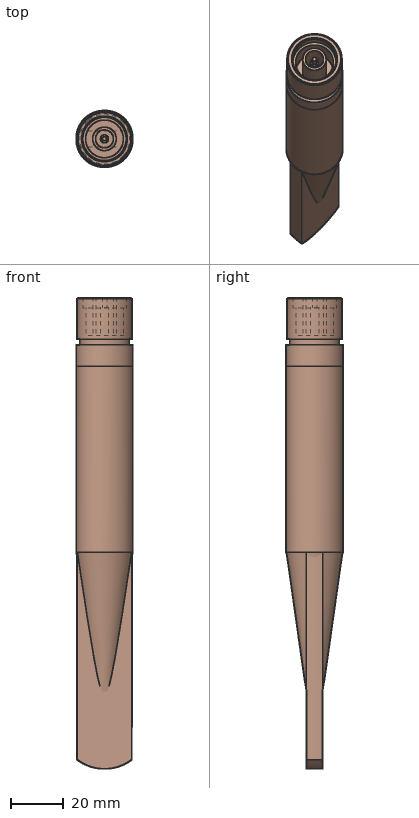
import cadquery as cq

TOTAL_LENGTH = 179.5
CAP_BOTTOM = 163.7
GROOVE_BOTTOM = 161.5
JOINT_LEVEL = 153.5
SHOULDER_LEVEL = 82.5
CONE_TIP_LEVEL = 28.4

BODY_DIAMETER = 21.7
CONE_TOP_DIAMETER = 21.5
BLADE_WIDTH = 21.0
BLADE_FACE_WIDTH = 20.6
BLADE_THICKNESS = 6.1
TIP_SAGITTA = 3.6

CAP_DIAMETER = 21.0
GROOVE_DIAMETER = 19.0
MOUTH_DIAMETER = 16.5
MOUTH_DEPTH = 3.8
RIM_CHAMFER = 0.45
BORE_DIAMETER = 14.4
BORE_DEPTH = 14.4
TUBE_OUTER_DIAMETER = 9.0
TUBE_INNER_DIAMETER = 6.8
PIN_DIAMETER = 3.0
PIN_TIP_DIAMETER = 1.6
PIN_TIP_LENGTH = 3.6


def cylinder(diameter, bottom, top):
    """Solid round bar on the Z axis between two levels."""
    return cq.Workplane("XY").workplane(offset=bottom).circle(diameter / 2).extrude(top - bottom)


def make_blade():
    """Flat blade with slightly bulged side edges and an arched lower end."""
    half_width = BLADE_WIDTH / 2
    half_face = BLADE_FACE_WIDTH / 2
    half_thickness = BLADE_THICKNESS / 2
    strip = (
        cq.Workplane("XY")
        .moveTo(-half_face, -half_thickness)
        .lineTo(half_face, -half_thickness)
        .threePointArc((half_width, 0), (half_face, half_thickness))
        .lineTo(-half_face, half_thickness)
        .threePointArc((-half_width, 0), (-half_face, -half_thickness))
        .close()
        .extrude(SHOULDER_LEVEL)
    )
    arched_outline = (
        cq.Workplane("XZ")
        .moveTo(-half_width, SHOULDER_LEVEL)
        .lineTo(-half_width, TIP_SAGITTA)
        .threePointArc((0, 0), (half_width, TIP_SAGITTA))
        .lineTo(half_width, SHOULDER_LEVEL)
        .close()
        .extrude(BLADE_THICKNESS, both=True)
    )
    return strip.intersect(arched_outline)


def make_cone():
    """Taper that shrinks from the shoulder to the blade thickness."""
    return (
        cq.Workplane("XZ")
        .moveTo(0, CONE_TIP_LEVEL)
        .lineTo(BLADE_THICKNESS / 2, CONE_TIP_LEVEL)
        .lineTo(CONE_TOP_DIAMETER / 2, SHOULDER_LEVEL)
        .lineTo(0, SHOULDER_LEVEL)
        .close()
        .revolve(360, (0, 0, 0), (0, 1, 0))
    )


def make_housing():
    """Round handle that runs down through the taper into the blade."""
    handle = cylinder(BODY_DIAMETER, SHOULDER_LEVEL, JOINT_LEVEL)
    return handle.union(make_cone()).union(make_blade())


def make_connector():
    """Collar, groove and cap, with a coaxial tube and pin inside the stepped bore."""
    collar = cylinder(BODY_DIAMETER, JOINT_LEVEL, GROOVE_BOTTOM)
    neck = cylinder(GROOVE_DIAMETER, GROOVE_BOTTOM, CAP_BOTTOM)
    cap = cylinder(CAP_DIAMETER, CAP_BOTTOM, TOTAL_LENGTH)
    mouth = cylinder(MOUTH_DIAMETER, TOTAL_LENGTH - MOUTH_DEPTH, TOTAL_LENGTH)
    floor_level = TOTAL_LENGTH - BORE_DEPTH
    bore = cylinder(BORE_DIAMETER, floor_level, TOTAL_LENGTH)
    cap = cap.cut(mouth).faces(">Z").edges().chamfer(RIM_CHAMFER)
    shell = collar.union(neck).union(cap).cut(bore)

    tube_bore = cylinder(TUBE_INNER_DIAMETER, floor_level, TOTAL_LENGTH)
    tube = cylinder(TUBE_OUTER_DIAMETER, floor_level, TOTAL_LENGTH).cut(tube_bore)

    pin_shoulder = TOTAL_LENGTH - PIN_TIP_LENGTH
    pin_tip = cylinder(PIN_TIP_DIAMETER, pin_shoulder, TOTAL_LENGTH)
    pin = cylinder(PIN_DIAMETER, floor_level, pin_shoulder).union(pin_tip)
    return shell.union(tube).union(pin)


housing = make_housing()
connector = make_connector()
result = cq.Compound.makeCompound([housing.val(), connector.val()])